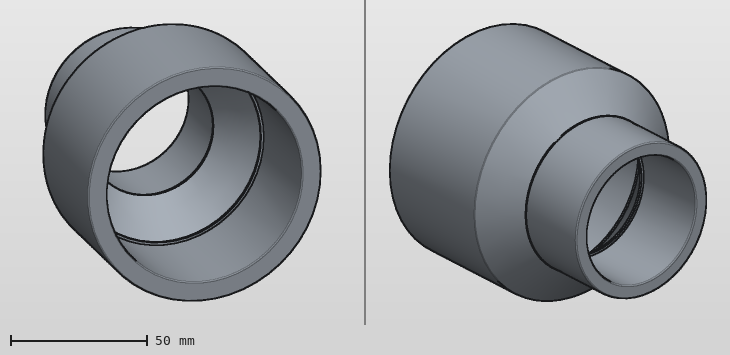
import cadquery as cq

length = 92.5
small_outer_diameter = 60.5
large_outer_diameter = 90.0
small_socket_diameter = 50.0
large_socket_diameter = 75.0
socket_shoulder = 1.0
edge_radius = 0.5

cone_start = 29.8
cone_end = 41.6
small_socket_end = 31.0
throat_length = 1.0
throat_end = small_socket_end + throat_length
large_socket_start = 49.3
passage_cone_end = large_socket_start - throat_length

throat_diameter = small_socket_diameter - 2 * socket_shoulder
large_stop_diameter = large_socket_diameter - 2 * socket_shoulder


def revolve_profile(stations):
    """Revolve (x, diameter) stations, closed along the axis, about X."""
    first_x = stations[0][0]
    last_x = stations[-1][0]
    points = [(x, diameter / 2) for x, diameter in stations]
    profile = [(first_x, 0)] + points + [(last_x, 0)]
    return cq.Workplane("XY").polyline(profile).close().revolve(360, (0, 0, 0), (1, 0, 0))


body = revolve_profile([
    (0, small_outer_diameter),
    (cone_start, small_outer_diameter),
    (cone_end, large_outer_diameter),
    (length, large_outer_diameter),
])

passage = revolve_profile([
    (0, small_socket_diameter),
    (small_socket_end, small_socket_diameter),
    (small_socket_end, throat_diameter),
    (throat_end, throat_diameter),
    (passage_cone_end, large_stop_diameter),
    (large_socket_start, large_stop_diameter),
    (large_socket_start, large_socket_diameter),
    (length, large_socket_diameter),
])

reducer = body.cut(passage)
margin = 0.9
cone_region = cq.selectors.BoxSelector(
    (cone_start - margin, -length, -length),
    (cone_end + margin, length, length),
    boundingbox=True,
)
outer_cone = reducer.faces("%CONE").faces(cone_region)
result = outer_cone.edges("%CIRCLE").add(reducer.faces("<X or >X").edges()).fillet(edge_radius)